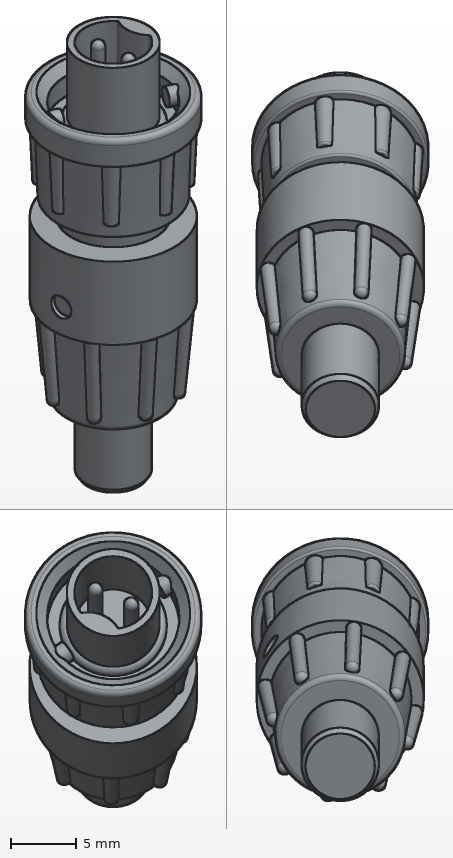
import cadquery as cq

CABLE_TOP = 7.1
SHOULDER_BOTTOM = 15.98
SHOULDER_TOP = 23.6
COUPLING_BOTTOM = 25.35
COLLAR_BOTTOM = 32.4
COLLAR_TOP = 34.9
TOTAL_LENGTH = 39.45

CABLE_RADIUS = 2.95
CABLE_CHAMFER_HEIGHT = 0.47
CABLE_CHAMFER_WIDTH = 0.3
RELIEF_BOTTOM_RADIUS = 4.95
RELIEF_TOP_RADIUS = 5.45
RELIEF_EDGE_RADIUS = 0.45
SHOULDER_RADIUS = 6.4
NECK_RADIUS = 4.38

COUPLING_BOTTOM_RADIUS = 5.8
COUPLING_TOP_RADIUS = 6.05
COUPLING_EDGE_RADIUS = 0.2
COLLAR_RADIUS = 6.75
COLLAR_TOP_EDGE_RADIUS = 0.47
COLLAR_BOTTOM_EDGE_RADIUS = 0.2

CUP_MOUTH_RADIUS = 5.88
CUP_RADIUS = 5.05
CUP_CONE_DEPTH = 0.85
CUP_FLOOR = 32.2
BOSS_RADIUS = 4.1
LUG_RADIUS = 0.83
LUG_TIP_DISTANCE = 4.3
LUG_LEVEL = 33.45
LUG_ANGLES = (60, 240)

TUBE_RADIUS = 3.55
TUBE_BORE_RADIUS = 2.95
TUBE_FLOOR = CUP_FLOOR
BOSS_EDGE_RADIUS = BOSS_RADIUS - TUBE_RADIUS
PLUG_ROOT = CUP_FLOOR - BOSS_EDGE_RADIUS
KEY_RADIUS = 2.6
KEY_CREST_DISTANCE = 2.0
KEY_CORNER_RADIUS = 0.15
PIN_RADIUS = 0.55
PIN_OFFSET = 1.5
PIN_TIP = 39.0

SIDE_HOLE_RADIUS = 1.0
SIDE_HOLE_LEVEL = 18.5
SIDE_HOLE_DEPTH = 0.47

RIB_COUNT = 8
RIB_PITCH = 360 / RIB_COUNT

RELIEF_RIB_START_ANGLE = RIB_PITCH / 2
RELIEF_RIB_BOTTOM = 8.5
RELIEF_RIB_BOTTOM_DISTANCE = 5.15
RELIEF_RIB_TOP_DISTANCE = 5.8
RELIEF_RIB_BOTTOM_RADIUS = 0.55
RELIEF_RIB_TOP_RADIUS = 0.6

COUPLING_RIB_START_ANGLE = -7.5
COUPLING_RIB_BOTTOM = 26.6
COUPLING_RIB_BOTTOM_DISTANCE = 5.55
COUPLING_RIB_TOP_DISTANCE = 5.6
COUPLING_RIB_BOTTOM_RADIUS = 0.65
COUPLING_RIB_TOP_RADIUS = 0.83
COUPLING_RIB_EDGE_RADIUS = 0.2


def cylinder(radius, bottom, top):
    return cq.Workplane("XY").workplane(offset=bottom).circle(radius).extrude(top - bottom)


def frustum(bottom_radius, top_radius, bottom, top):
    return cq.Workplane(cq.Solid.makeCone(bottom_radius, top_radius, top - bottom, cq.Vector(0, 0, bottom)))


def leaning_rib(bottom, top, bottom_distance, top_distance, bottom_radius, top_radius):
    """Tapered round bar in the XZ plane between two points at given distances from the axis."""
    start = cq.Vector(bottom_distance, 0, bottom)
    lean = cq.Vector(top_distance, 0, top) - start
    return cq.Workplane(cq.Solid.makeCone(bottom_radius, top_radius, lean.Length, start, lean))


def ring_of(body, rib, start_angle):
    for index in range(RIB_COUNT):
        body = body.union(rib.rotate((0, 0, 0), (0, 0, 1), start_angle + index * RIB_PITCH))
    return body


def cable():
    tip = frustum(CABLE_RADIUS - CABLE_CHAMFER_WIDTH, CABLE_RADIUS, 0, CABLE_CHAMFER_HEIGHT)
    return tip.union(cylinder(CABLE_RADIUS, CABLE_CHAMFER_HEIGHT, CABLE_TOP))


def strain_relief():
    body = frustum(RELIEF_BOTTOM_RADIUS, RELIEF_TOP_RADIUS, CABLE_TOP, SHOULDER_BOTTOM)
    body = body.faces("<Z").edges().fillet(RELIEF_EDGE_RADIUS)
    rib = leaning_rib(
        RELIEF_RIB_BOTTOM, SHOULDER_BOTTOM,
        RELIEF_RIB_BOTTOM_DISTANCE, RELIEF_RIB_TOP_DISTANCE,
        RELIEF_RIB_BOTTOM_RADIUS, RELIEF_RIB_TOP_RADIUS,
    )
    rounded_end = cq.Workplane().sphere(RELIEF_RIB_BOTTOM_RADIUS)
    rounded_end = rounded_end.translate((RELIEF_RIB_BOTTOM_DISTANCE, 0, RELIEF_RIB_BOTTOM))
    return ring_of(body, rib.union(rounded_end), RELIEF_RIB_START_ANGLE)


def shoulder():
    body = cylinder(SHOULDER_RADIUS, SHOULDER_BOTTOM, SHOULDER_TOP)
    hole = (
        cq.Workplane("XZ", origin=(0, -SHOULDER_RADIUS, SIDE_HOLE_LEVEL))
        .circle(SIDE_HOLE_RADIUS)
        .extrude(SIDE_HOLE_DEPTH, both=True)
    )
    return body.cut(hole)


def cup_cavity():
    cone_bottom = COLLAR_TOP - CUP_CONE_DEPTH
    mouth = frustum(CUP_RADIUS, CUP_MOUTH_RADIUS, cone_bottom, COLLAR_TOP)
    return mouth.union(cylinder(CUP_RADIUS, CUP_FLOOR, cone_bottom))


def cup_lug(angle):
    lug = (
        cq.Workplane("YZ", origin=(LUG_TIP_DISTANCE, 0, LUG_LEVEL))
        .circle(LUG_RADIUS)
        .extrude(CUP_MOUTH_RADIUS - LUG_TIP_DISTANCE)
    )
    return lug.rotate((0, 0, 0), (0, 0, 1), angle)


def coupling_ring():
    body = frustum(COUPLING_BOTTOM_RADIUS, COUPLING_TOP_RADIUS, COUPLING_BOTTOM, COLLAR_BOTTOM)
    body = body.faces("<Z").edges().fillet(COUPLING_EDGE_RADIUS)
    rib = leaning_rib(
        COUPLING_RIB_BOTTOM, COLLAR_BOTTOM,
        COUPLING_RIB_BOTTOM_DISTANCE, COUPLING_RIB_TOP_DISTANCE,
        COUPLING_RIB_BOTTOM_RADIUS, COUPLING_RIB_TOP_RADIUS,
    )
    rib = rib.faces("<Z").edges().fillet(COUPLING_RIB_EDGE_RADIUS)
    body = ring_of(body, rib, COUPLING_RIB_START_ANGLE)
    collar = cylinder(COLLAR_RADIUS, COLLAR_BOTTOM, COLLAR_TOP)
    collar = collar.faces(">Z").edges().fillet(COLLAR_TOP_EDGE_RADIUS)
    collar = collar.faces("<Z").edges().fillet(COLLAR_BOTTOM_EDGE_RADIUS)
    body = body.union(collar).cut(cup_cavity())
    for angle in LUG_ANGLES:
        body = body.union(cup_lug(angle))
    return body


def plug():
    boss = cylinder(BOSS_RADIUS, PLUG_ROOT, CUP_FLOOR + BOSS_EDGE_RADIUS)
    boss = boss.faces(">Z").edges().fillet(BOSS_EDGE_RADIUS)
    key = cylinder(KEY_RADIUS, TUBE_FLOOR, TOTAL_LENGTH)
    key = key.translate((0, KEY_CREST_DISTANCE + KEY_RADIUS, 0))
    bore = cylinder(TUBE_BORE_RADIUS, TUBE_FLOOR, TOTAL_LENGTH).cut(key)
    bore = bore.edges("|Z").edges(">Y").fillet(KEY_CORNER_RADIUS)
    body = boss.union(cylinder(TUBE_RADIUS, PLUG_ROOT, TOTAL_LENGTH)).cut(bore)
    pin_shaft_top = PIN_TIP - PIN_RADIUS
    for side in (-1, 1):
        shaft = cylinder(PIN_RADIUS, PLUG_ROOT, pin_shaft_top)
        dome = cq.Workplane().sphere(PIN_RADIUS).translate((0, 0, pin_shaft_top))
        body = body.union(shaft.union(dome).translate((side * PIN_OFFSET, 0, 0)))
    return body


neck = cylinder(NECK_RADIUS, SHOULDER_TOP, COUPLING_BOTTOM)
result = cable().union(strain_relief()).union(shoulder()).union(neck).union(coupling_ring()).union(plug())